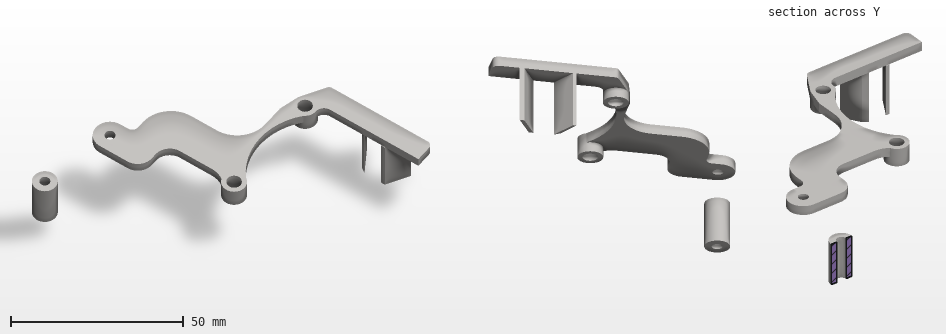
import cadquery as cq
import math

total_length = 86.5
total_width = 80.7
plate_thickness = 3.0
boss_height = 6.0
spacer_diameter = 7.5
boss_radius = spacer_diameter / 2
boss_hole_diameter = 4.5
screw_hole_diameter = 3.2
boss_x = 44.5
lower_boss_y = 31.9
upper_boss_y = 67.0
boss_centers = [(boss_x, lower_boss_y), (boss_x, upper_boss_y)]

spacer_length = 14.0

lobe_radius = 5.0
lobe_x = 5.2
lobe_bottom = 20.0
lobe_y = lobe_bottom + lobe_radius
lobe_top = lobe_y + lobe_radius
foot_right = 20.1
body_left = 10.0
body_bottom = 32.0
body_top = 44.6
large_bend_radius = 10.0
notch_radius = 2.1
neck_left = 39.2
neck_top = 61.95
boss_blend_x = 36.4
boss_blend_radius = 8.0
scallop_left = 41.0
scallop_radius = 21.6

arm_top = total_width - spacer_diameter / 2
arm_bottom = 70.0
arm_right = total_length - spacer_diameter / 2
arm_root_x = 41.3
arm_root_y = 69.0
arm_corner_x = 46.0
arm_corner_radius = 1.4
arm_end_radius = 1.7
arm_fillet_radius = 2.9

leg_bottom = 20.0
left_leg_x = 58.2
left_leg_shoulder = (61.8, 71.1)
left_leg_tip = (63.5, 70.0)
right_leg_x = 69.5
right_leg_y = 69.8
right_leg_width = 1.4
right_leg_run = 4.2


def cylinders(centers, diameter, height):
    """Vertical cylinders hanging down from Z = 0."""
    return cq.Workplane("XY").pushPoints(centers).circle(diameter / 2).extrude(-height)


def tangent_point_left(point, center, radius):
    """Point where a line from the given point touches the left side of a circle."""
    dx = point[0] - center[0]
    dy = point[1] - center[1]
    direction = math.atan2(dy, dx) - math.acos(radius / math.hypot(dx, dy))
    return (center[0] + radius * math.cos(direction), center[1] + radius * math.sin(direction))


def make_spacer():
    tube = cylinders([(0, 0)], spacer_diameter, spacer_length)
    return tube.cut(cylinders([(0, 0)], screw_hole_diameter, spacer_length))


def make_plate():
    upper_boss = (boss_x, upper_boss_y)
    neck_tangent = tangent_point_left((neck_left, neck_top), upper_boss, boss_radius)
    blend_end_x = boss_x - boss_radius / 2
    blend_run = blend_end_x - boss_blend_x
    blend_drop = boss_blend_radius - math.sqrt(boss_blend_radius**2 - blend_run**2)
    web = (
        cq.Workplane("XY")
        .moveTo(lobe_x, lobe_bottom)
        .lineTo(foot_right - lobe_radius, lobe_bottom)
        .tangentArcPoint((foot_right, lobe_y), relative=False)
        .lineTo(foot_right, body_bottom - lobe_radius)
        .tangentArcPoint((foot_right + lobe_radius, body_bottom), relative=False)
        .lineTo(boss_blend_x, body_bottom)
        .tangentArcPoint((blend_end_x, body_bottom - blend_drop), relative=False)
        .lineTo(*boss_centers[0])
        .lineTo(boss_x + boss_radius / 2, lower_boss_y)
        .lineTo(boss_x + boss_radius / 2, upper_boss_y)
        .lineTo(*upper_boss)
        .lineTo(*neck_tangent)
        .lineTo(neck_left, neck_top)
        .lineTo(neck_left, body_top + large_bend_radius)
        .tangentArcPoint((neck_left - large_bend_radius, body_top), relative=False)
        .lineTo(body_left + large_bend_radius, body_top)
        .tangentArcPoint((body_left, body_top - large_bend_radius), relative=False)
        .lineTo(body_left, lobe_top + notch_radius)
        .tangentArcPoint((body_left - notch_radius, lobe_top), relative=False)
        .lineTo(lobe_x, lobe_top)
        .tangentArcPoint((lobe_x - lobe_radius, lobe_y), relative=False)
        .tangentArcPoint((lobe_x, lobe_bottom), relative=False)
        .close()
        .extrude(-plate_thickness)
    )
    scallop_center = (scallop_left + scallop_radius, (lower_boss_y + upper_boss_y) / 2)
    web = web.cut(cylinders([scallop_center], 2 * scallop_radius, plate_thickness))
    plate = web.union(cylinders(boss_centers, 2 * boss_radius, boss_height))
    plate = plate.cut(cylinders(boss_centers, boss_hole_diameter, boss_height))
    return plate.cut(cylinders([(lobe_x, lobe_y)], screw_hole_diameter, plate_thickness))


def make_leg(points):
    """Thin wall from the underside of the bar down to the leg bottom."""
    underside = cq.Workplane("XY").workplane(offset=-plate_thickness)
    return underside.polyline(points).close().extrude(plate_thickness - leg_bottom)


def make_arm():
    fillet_end_x = boss_x + boss_radius
    bar = (
        cq.Workplane("XY")
        .moveTo(arm_root_x, arm_root_y)
        .lineTo(arm_corner_x, arm_top)
        .lineTo(arm_right, arm_top)
        .lineTo(arm_right, arm_bottom)
        .lineTo(fillet_end_x + arm_fillet_radius, arm_bottom)
        .tangentArcPoint((fillet_end_x, arm_bottom - arm_fillet_radius), relative=False)
        .lineTo(boss_x, upper_boss_y)
        .close()
        .extrude(-plate_thickness)
    )
    top_corner = cq.selectors.NearestToPointSelector((arm_corner_x, arm_top, -plate_thickness / 2))
    end_corner = cq.selectors.NearestToPointSelector((arm_right, arm_top, -plate_thickness / 2))
    bar = bar.edges(top_corner).fillet(arm_corner_radius)
    bar = bar.edges(end_corner).fillet(arm_end_radius)

    slope = (left_leg_shoulder[0] - left_leg_x) / (arm_top - left_leg_shoulder[1])
    left_leg_back_x = left_leg_tip[0] - slope * (arm_top - left_leg_tip[1])
    left_leg = make_leg(
        [(left_leg_x, arm_top), left_leg_shoulder, left_leg_tip, (left_leg_back_x, arm_top)]
    )
    right_leg = make_leg(
        [
            (right_leg_x, right_leg_y),
            (right_leg_x + right_leg_width, right_leg_y),
            (right_leg_x + right_leg_width + right_leg_run, arm_top),
            (right_leg_x + right_leg_run, arm_top),
        ]
    )
    arm = bar.union(left_leg).union(right_leg)
    return arm.cut(cylinders([(boss_x, upper_boss_y)], 2 * boss_radius, boss_height))


spacer = make_spacer()
plate = make_plate()
arm = make_arm()
result = cq.Compound.makeCompound([spacer.val(), plate.val(), arm.val()])